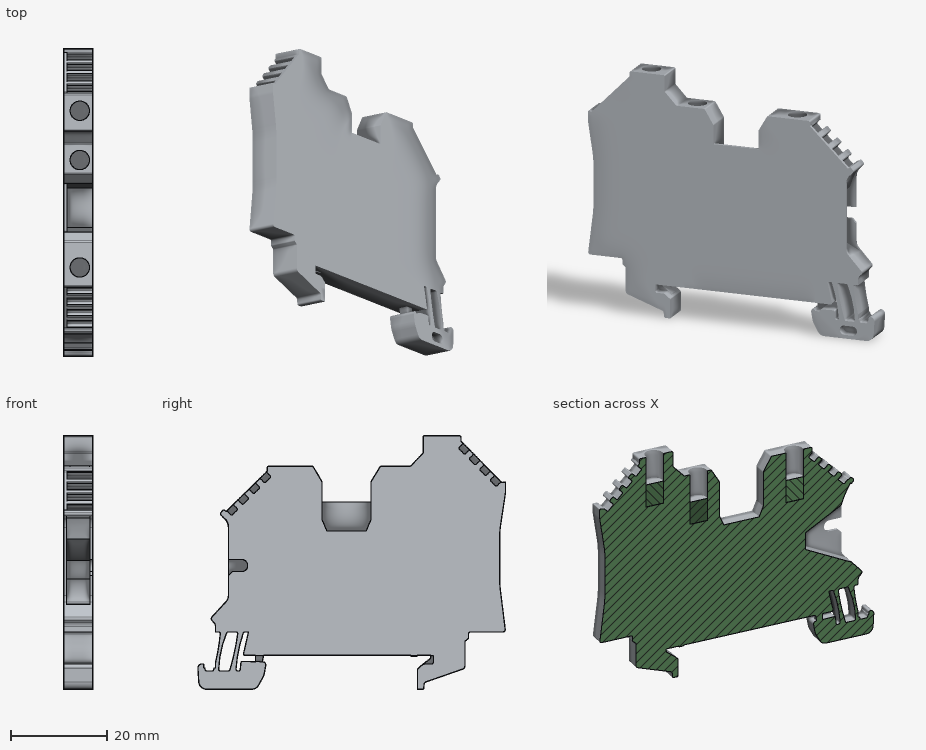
import cadquery as cq
import math


thickness = 6.1
height = 52.8
shoulder_z = 46.4
rail_z = 7.05
wing_z = 11.9
end_y = 6.35
corner = 0.4

notch_y = (25.9, 36.0)
notch_z = 39.0
notch_wall = 0.7
notch_taper_z = 35.2
notch_floor_z = 33.0
notch_taper = 0.95

front_slope = ((5.9, 37.0), (14.4, 45.35))
rear_slope = ((63.2, 43.05), (55.1, 51.3))
groove_count = 4
groove_width = 2.25
groove_depth = 1.4
groove_chamfer = 0.2
groove_radius = 0.25
groove_wall = 0.7

funnel_wall = 0.61
funnel_depth = 9.6
funnel_back_z = (22.9, 26.8)

cable_slot_tip = (10.4, 25.75)
cable_slot_radius = 1.3
cable_slot_flare = 0.85

clip_x = 2.05
clip_width = 2.0

release_centre = (5.8, 1.8)
release_length = 3.85
release_height = 2.0
release_depth = 2.05

foot_top_z = 5.8
gap_floor_z = 3.85
gap_radius = 0.3

screw_places = ((51.1, height), (40.85, shoulder_z), (18.5, shoulder_z))
screw_x = 3.36
screw_diameter = 4.05
screw_recess = 6.4
screw_length = 5.1


def rounded_prism(points, x_start, width):
    """Extrude a Y-Z outline along X. Each point is (y, z) or (y, z, corner radius)."""
    runs = []
    for i, point in enumerate(points):
        y, z = point[:2]
        if len(point) == 2:
            runs.append(((y, z),))
            continue
        arms = []
        for other in (points[i - 1], points[(i + 1) % len(points)]):
            length = math.hypot(other[0] - y, other[1] - z)
            arms.append(((other[0] - y) / length, (other[1] - z) / length))
        cosine = arms[0][0] * arms[1][0] + arms[0][1] * arms[1][1]
        half_angle = math.acos(cosine) / 2
        setback = point[2] / math.tan(half_angle)
        start, end = [(y + setback * a, z + setback * b) for a, b in arms]
        bisector = (arms[0][0] + arms[1][0], arms[0][1] + arms[1][1])
        to_arc = point[2] * (1 / math.sin(half_angle) - 1) / math.hypot(*bisector)
        middle = (y + to_arc * bisector[0], z + to_arc * bisector[1])
        runs.append((start, middle, end))
    outline = cq.Workplane("YZ", origin=(x_start, 0, 0)).moveTo(*runs[0][-1])
    for run in runs[1:] + runs[:1]:
        outline = outline.lineTo(*run[0])
        if len(run) > 1:
            outline = outline.threePointArc(*run[1:])
    return outline.close().extrude(width)


def body_plate():
    """Full-thickness plate, from the tall rear block round to the fixed hook under it."""
    return rounded_prism(
        [
            (54.75, height, corner), (46.9, height, 0.25), (46.9, 49.2, corner), (44.25, shoulder_z, corner),
            (38.0, shoulder_z, corner), (notch_y[1], 43.15, 0.5), (notch_y[1], notch_z),
            (notch_y[0], notch_z), (notch_y[0], 43.15, 0.5), (23.95, shoulder_z, corner),
            (14.4, shoulder_z, corner), (14.4, 45.35, 0.3), (5.9, 37.0),
            (5.4, 37.45, 0.3), (4.55, 36.5, 0.45), (end_y, 34.7, 2.55), (end_y, 18.75, 1.9), (2.55, 14.65, 0.6),
            (3.65, 13.6, 1.3), (3.65, wing_z, corner), (10.5, wing_z),
            (9.4, rail_z, 0.3), (49.0, rail_z, 0.2), (49.0, 5.25, 0.4), (46.95, 5.25, 0.95), (45.65, 4.2, 0.3),
            (45.65, 0.0), (47.0, 0.0, 0.3), (47.15, 1.4, 0.45), (55.6, 4.35, 0.8), (55.6, 10.0, 0.25), (56.35, 10.6, 0.25),
            (56.35, wing_z, 0.3),
            (64.05, wing_z, 0.5), (62.8, 21.8, 16.0), (62.8, 33.0, 16.0), (64.05, 41.0, 3.2),
            (64.05, 43.15, 0.2), (63.2, 43.05), (55.1, 51.3), (54.75, 51.6),
        ],
        0, thickness,
    )


def sprung_foot():
    """Foot that clips over the rail, joined to the plate by the block its two leaf springs are cut from."""
    return rounded_prism(
        [
            (14.3, 5.7, 0.65), (9.6, foot_top_z), (9.6, 12.3), (3.65, 12.3), (3.65, 4.5), (1.3, 4.5),
            (1.3, 5.3, 0.3), (0.0, 5.3, 0.9), (0.0, 4.35), (0.25, 0.0, 1.65), (12.15, 0.0, 1.6), (13.8, 2.9, 3.2),
        ],
        0, thickness,
    )


def inner_gap():
    """Gap between the plate and the inner spring, opening to the rail seat above the foot."""
    gap = (
        cq.Workplane("YZ")
        .moveTo(9.55, wing_z)
        .threePointArc((8.8, 9.35), (7.95, gap_floor_z))
        .lineTo(8.8, gap_floor_z)
        .lineTo(8.95, foot_top_z)
        .lineTo(10.4, foot_top_z)
        .lineTo(10.4, rail_z)
        .lineTo(9.4, rail_z)
        .lineTo(10.4, wing_z)
        .close()
        .extrude(thickness)
    )
    return gap.edges("|X").fillet(gap_radius)


def middle_gap():
    """Window between the two leaf springs."""
    gap = (
        cq.Workplane("YZ")
        .moveTo(6.1, wing_z)
        .threePointArc((5.1, 9.15), (4.35, gap_floor_z))
        .lineTo(6.6, gap_floor_z)
        .threePointArc((7.8, 8.8), (8.3, wing_z))
        .close()
        .extrude(thickness)
    )
    return gap.edges("|X").fillet(gap_radius)


def outer_gap():
    """Open space beside the outer spring, down to the hollow behind the foot's finger grip."""
    gap = (
        cq.Workplane("YZ")
        .moveTo(4.7, wing_z)
        .threePointArc((4.3, 8.8), (3.2, gap_floor_z))
        .lineTo(1.6, gap_floor_z)
        .lineTo(1.3, 5.1)
        .lineTo(1.3, wing_z)
        .close()
        .extrude(thickness)
    )
    return gap.edges("|X").fillet(gap_radius)


def slope_grooves(slope):
    """Evenly spaced grooves square to a sloping shoulder, open on the +X side."""
    (low_y, low_z), (high_y, high_z) = slope
    length = math.hypot(high_y - low_y, high_z - low_z)
    along = ((high_y - low_y) / length, (high_z - low_z) / length)
    side = math.copysign(1, along[0])
    outward = (-side * along[1], side * along[0])
    pitch = (length - groove_width) / (groove_count - 1)
    inset = groove_width - groove_chamfer
    section = (
        (0, 0.65), (0, 0), (groove_chamfer, -groove_chamfer), (groove_chamfer, -groove_depth, groove_radius),
        (inset, -groove_depth, groove_radius), (inset, -groove_chamfer), (groove_width, 0), (groove_width, 0.65),
    )
    grooves = cq.Workplane("YZ")
    for i in range(groove_count):
        corners = []
        for run, lift, *radius in section:
            distance = i * pitch + run
            y = low_y + distance * along[0] + lift * outward[0]
            z = low_z + distance * along[1] + lift * outward[1]
            corners.append((y, z, *radius))
        grooves = grooves.union(rounded_prism(corners, groove_wall, thickness - groove_wall))
    return grooves


def notch_pocket():
    """Deeper tapered floor of the marker notch behind its thin -X wall."""
    low_y, high_y = notch_y
    return rounded_prism(
        [
            (low_y, notch_z), (low_y, notch_taper_z), (low_y + notch_taper, notch_floor_z),
            (high_y - notch_taper, notch_floor_z), (high_y, notch_taper_z), (high_y, notch_z),
        ],
        notch_wall, thickness - notch_wall,
    )


def wire_funnel():
    """Rectangular funnel between the two side walls, narrowing to a flat back."""
    back_y = end_y + funnel_depth
    low, high = funnel_back_z
    profile = (
        cq.Workplane("YZ", origin=(funnel_wall, 0, 0))
        .moveTo(5.4, 36.1)
        .threePointArc((6.65, 33.8), (7.6, 31.3))
        .lineTo(back_y, high)
        .lineTo(back_y, low)
        .lineTo(end_y, 18.1)
        .lineTo(5.4, 17.7)
        .close()
    )
    return profile.extrude(thickness - 2 * funnel_wall)


def cable_slot():
    """Round-ended slot through the +X wall of the funnel, flaring to the open end."""
    tip_y, tip_z = cable_slot_tip
    arc_y = tip_y - cable_slot_radius
    top = tip_z + cable_slot_radius
    bottom = tip_z - cable_slot_radius
    slot = (
        cq.Workplane("YZ", origin=(thickness - 2 * funnel_wall, 0, 0))
        .moveTo(end_y - 0.65, top)
        .lineTo(arc_y, top)
        .threePointArc((tip_y, tip_z), (arc_y, bottom))
        .lineTo(end_y + cable_slot_flare, bottom)
        .lineTo(end_y, bottom - cable_slot_flare)
        .lineTo(end_y - 0.65, bottom - cable_slot_flare)
        .close()
    )
    return slot.extrude(2 * funnel_wall)


def clip_inserts():
    """Set-back details of the rail clip: hook backing, foot tab and a small seat pad."""
    backing = rounded_prism(
        [(49.0, rail_z), (48.5, rail_z), (48.35, 6.4), (46.1, 4.7), (46.1, 4.2), (49.0, 4.2)], clip_x, clip_width
    )
    tab = rounded_prism([(13.7, rail_z), (13.3, 5.25), (12.0, 5.25), (12.0, rail_z)], clip_x, clip_width)
    pad = rounded_prism([(45.6, rail_z), (45.6, 6.85), (44.3, 6.85), (44.3, rail_z)], clip_x, clip_width)
    return backing.union(tab).union(pad)


def foot_notch():
    """Shallow hollow in the foot in front of the set-back tab."""
    return rounded_prism([(13.7, 5.95), (13.2, 5.25), (12.3, 5.25), (11.8, 5.95)], 0, clip_x)


def release_slot():
    """Blind round-ended slot for a screwdriver in the foot."""
    return (
        cq.Workplane("YZ")
        .center(*release_centre)
        .slot2D(release_length, release_height)
        .extrude(release_depth)
    )


def screw_cylinder(y, top_z, length):
    """Vertical cylinder of screw diameter hanging down from top_z."""
    return cq.Workplane("XY", origin=(screw_x, y, top_z)).circle(screw_diameter / 2).extrude(-length)


def make_housing():
    housing = body_plate().union(sprung_foot())
    housing = housing.cut(inner_gap()).cut(middle_gap()).cut(outer_gap())
    housing = housing.cut(foot_notch()).union(clip_inserts())
    housing = housing.cut(slope_grooves(front_slope)).cut(slope_grooves(rear_slope))
    housing = housing.cut(notch_pocket()).cut(wire_funnel()).cut(cable_slot()).cut(release_slot())
    for y, top_z in screw_places:
        housing = housing.cut(screw_cylinder(y, top_z, screw_recess + screw_length))
    return housing


def make_screw(y, block_top):
    return screw_cylinder(y, block_top - screw_recess, screw_length)


housing = make_housing()
screws = [make_screw(y, block_top) for y, block_top in screw_places]

result = cq.Compound.makeCompound([housing.val(), *[screw.val() for screw in screws]])